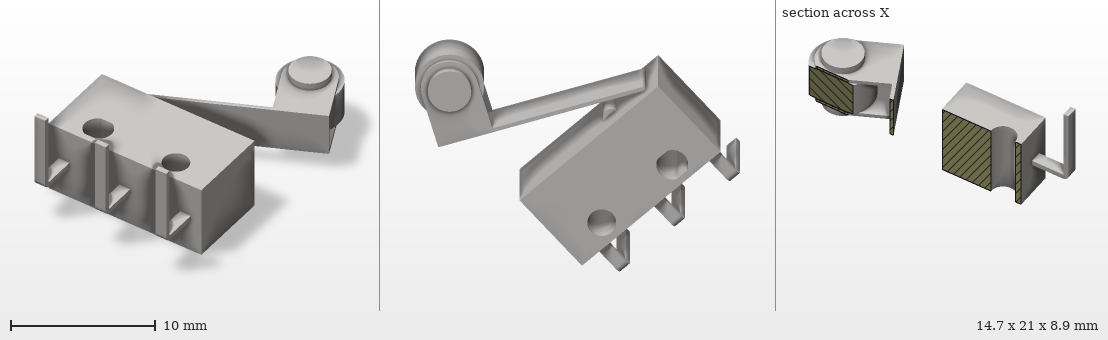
import cadquery as cq
import math


housing_length = 12.8
housing_depth = 6.5
housing_height = 5.8

hole_spacing = 6.5
hole_inset = 1.5
hole_diameter = 2.0
wide_hole_diameter = 2.2

terminal_pitch = 5.08
terminal_width = 0.9
terminal_thickness = 0.4
terminal_inner_bend = 0.1
terminal_reach = 3.0
terminal_rise = 3.1

button_radius = 0.6
button_x = -1.97
button_sink = 0.15
button_height = 2.0

roller_radius = 2.4
roller_x = 4.8
roller_rise = 9.1
axle_diameter = 3.0
axle_length = 4.62

lever_angle = 25.0
lever_width = 3.4
lever_thickness = 0.3
lever_root_x = -5.3
flange_radius = 2.0
flange_reach = 4.0

roller_y = housing_depth + roller_rise
roller_width = lever_width - 2 * lever_thickness
arm_tilt = math.radians(lever_angle)


def cylinder(x, y, radius, length):
    """Cylinder along Z, centred on the middle plane."""
    return cq.Workplane("XY", origin=(x, y, -length / 2)).circle(radius).extrude(length)


def from_roller(along, away):
    """Point measured from the roller axis, along the arm and square to it."""
    x = roller_x + along * math.cos(arm_tilt) - away * math.sin(arm_tilt)
    y = roller_y + along * math.sin(arm_tilt) + away * math.cos(arm_tilt)
    return x, y


def arm_point_at_x(x, away):
    """Point with the given X on the line that runs along the arm at this offset."""
    start_x, start_y = from_roller(0, away)
    return x, start_y + (x - start_x) * math.tan(arm_tilt)


def make_housing():
    block = cq.Workplane("XY").box(housing_length, housing_depth, housing_height)
    block = block.translate((0, housing_depth / 2, 0))
    round_hole = cylinder(hole_spacing / 2, hole_inset, hole_diameter / 2, housing_height)
    wide_hole = cylinder(-hole_spacing / 2, hole_inset, wide_hole_diameter / 2, housing_height)
    flats = cq.Workplane("XY").box(wide_hole_diameter, hole_diameter, housing_height)
    wide_hole = wide_hole.intersect(flats.translate((-hole_spacing / 2, hole_inset, 0)))
    return block.cut(round_hole).cut(wide_hole)


def make_terminal(x):
    """L-shaped strip that leaves the housing and bends up."""
    bottom = -terminal_thickness / 2
    top = housing_height / 2 + terminal_rise
    inner_y = terminal_thickness - terminal_reach
    inner_z = bottom + terminal_thickness
    outer_bend = terminal_inner_bend + terminal_thickness
    return (
        cq.Workplane("YZ", origin=(x - terminal_width / 2, 0, 0))
        .moveTo(0, bottom)
        .lineTo(outer_bend - terminal_reach, bottom)
        .radiusArc((-terminal_reach, bottom + outer_bend), outer_bend)
        .lineTo(-terminal_reach, top)
        .lineTo(inner_y, top)
        .lineTo(inner_y, inner_z + terminal_inner_bend)
        .radiusArc((inner_y + terminal_inner_bend, inner_z), -terminal_inner_bend)
        .lineTo(0, inner_z)
        .close()
        .extrude(terminal_width)
    )


def make_button():
    button = cylinder(button_x, housing_depth - button_sink, button_radius, button_height)
    inside = cq.Workplane("XY").box(housing_length, housing_depth, housing_height)
    return button.cut(inside.translate((0, housing_depth / 2, 0)))


def make_arm():
    """Sloping strip with a short root on the housing and a rounded bend."""
    outer_face = -flange_reach
    inner_face = outer_face + lever_thickness
    root_far_x = lever_root_x + lever_thickness
    outline = [
        (lever_root_x, housing_depth),
        (root_far_x, housing_depth),
        arm_point_at_x(root_far_x, outer_face),
        from_roller(flange_radius, outer_face),
        from_roller(flange_radius, inner_face),
        arm_point_at_x(lever_root_x, inner_face),
    ]
    lever_bottom = cq.Workplane("XY", origin=(0, 0, -lever_width / 2))
    arm = lever_bottom.polyline(outline).close().extrude(lever_width)
    bend = cq.selectors.NearestToPointSelector((*outline[-1], 0))
    return arm.edges("|Z").edges(bend).fillet(lever_thickness)


def make_flanges():
    """Two round-ended plates, one on each side of the roller, bored for the axle."""
    plates = (
        cq.Workplane("XY", origin=(0, 0, -lever_width / 2))
        .moveTo(*from_roller(flange_radius, -flange_reach))
        .lineTo(*from_roller(flange_radius, 0))
        .threePointArc(from_roller(0, flange_radius), from_roller(-flange_radius, 0))
        .lineTo(*from_roller(-flange_radius, -flange_reach))
        .close()
        .extrude(lever_width)
    )
    roller_gap = cq.Workplane("XY").box(housing_length, housing_length, roller_width)
    plates = plates.cut(roller_gap.translate((roller_x, roller_y, 0)))
    return plates.cut(cylinder(roller_x, roller_y, axle_diameter / 2, lever_width))


def make_switch():
    switch = make_housing().union(make_button())
    for position in (-1, 0, 1):
        switch = switch.union(make_terminal(position * terminal_pitch))
    return switch.union(make_arm().union(make_flanges()))


def make_roller():
    wheel = cylinder(roller_x, roller_y, roller_radius, roller_width)
    return wheel.union(cylinder(roller_x, roller_y, axle_diameter / 2, axle_length))


switch = make_switch()
roller = make_roller()

result = cq.Compound.makeCompound([switch.solids().val(), roller.solids().val()])